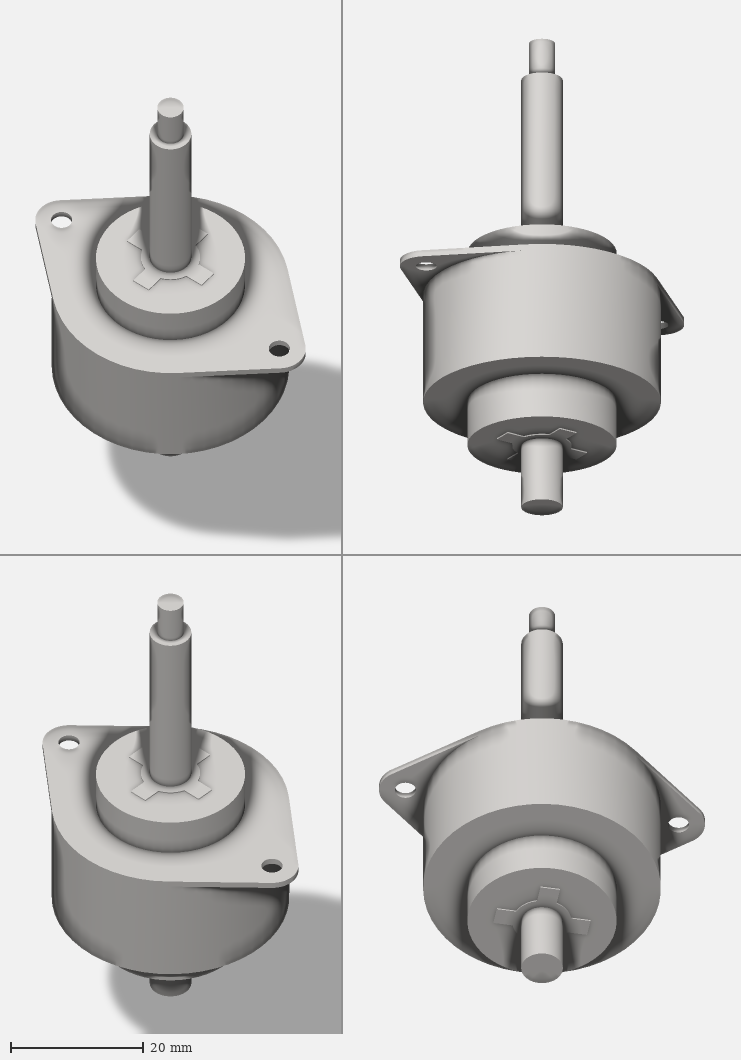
import cadquery as cq
import math

body_radius = 18.0
body_height = 18.5
hub_radius = 11.3
top_hub_height = 6.0
bottom_hub_height = 7.0

flange_thickness = 1.0
ear_radius = 4.0
ear_offset = 21.0
ear_hole_diameter = 3.2

pad_thickness = 0.2
pad_ring_radius = 4.5
pad_arm_span = 14.4
pad_arm_width = 3.0

shaft_radius = 3.15
tip_radius = 2.0
tip_length = 6.0
shaft_top = 40.3
total_length = 76.0

body_bottom_z = -body_height
bottom_hub_z = body_bottom_z - bottom_hub_height
shaft_bottom = shaft_top - total_length


def cylinder(radius, bottom_z, top_z):
    """Cylinder about the Z axis between two heights."""
    return cq.Workplane("XY").workplane(offset=bottom_z).circle(radius).extrude(top_z - bottom_z)


def make_flange():
    """Lozenge plate whose straight sides are tangent to the drum and to both ears."""
    tangent_angle = math.acos((body_radius - ear_radius) / ear_offset)
    cos_t = math.cos(tangent_angle)
    sin_t = math.sin(tangent_angle)
    drum_x = body_radius * cos_t
    drum_y = body_radius * sin_t
    ear_x = ear_offset + ear_radius * cos_t
    ear_y = ear_radius * sin_t
    ear_tip_x = ear_offset + ear_radius
    plate = (
        cq.Workplane("XY")
        .workplane(offset=-flange_thickness)
        .moveTo(-drum_x, drum_y)
        .threePointArc((0, body_radius), (drum_x, drum_y))
        .lineTo(ear_x, ear_y)
        .threePointArc((ear_tip_x, 0), (ear_x, -ear_y))
        .lineTo(drum_x, -drum_y)
        .threePointArc((0, -body_radius), (-drum_x, -drum_y))
        .lineTo(-ear_x, -ear_y)
        .threePointArc((-ear_tip_x, 0), (-ear_x, ear_y))
        .close()
        .extrude(flange_thickness)
    )
    return (
        plate.faces(">Z")
        .workplane(origin=(0, 0, 0))
        .pushPoints([(-ear_offset, 0), (ear_offset, 0)])
        .hole(ear_hole_diameter)
    )


def make_pad(bottom_z):
    """Round pad with four radial arms along X and Y."""
    pad = cylinder(pad_ring_radius, bottom_z, bottom_z + pad_thickness)
    for angle in (0, 90):
        arm = (
            cq.Workplane("XY")
            .workplane(offset=bottom_z)
            .rect(pad_arm_span, pad_arm_width)
            .extrude(pad_thickness)
            .rotate((0, 0, 0), (0, 0, 1), angle)
        )
        pad = pad.union(arm)
    return pad


def make_shaft():
    """Plain shaft with a reduced tip."""
    shoulder_z = shaft_top - tip_length
    shaft = cylinder(shaft_radius, shaft_bottom, shoulder_z)
    tip = cylinder(tip_radius, shoulder_z, shaft_top)
    return shaft.union(tip)


drum = cylinder(body_radius, body_bottom_z, 0)
hubs = cylinder(hub_radius, bottom_hub_z, top_hub_height)

result = (
    drum.union(make_flange())
    .union(hubs)
    .union(make_pad(top_hub_height))
    .union(make_pad(bottom_hub_z - pad_thickness))
    .union(make_shaft())
)